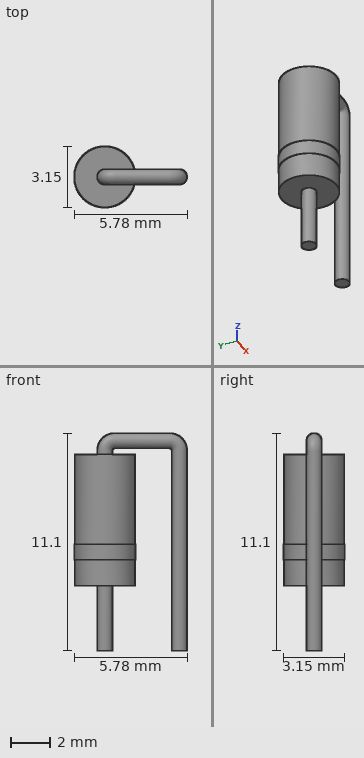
import cadquery as cq

lead_diameter = 0.79
lead_pitch = 3.81
bend_radius = 0.5
overall_height = 11.12

body_diameter = 3.1
body_bottom = 3.31
body_length = 6.72

band_diameter = 3.15
band_offset = 1.34
band_width = 0.8

lead_top_axis = overall_height - lead_diameter / 2
bend_start = lead_top_axis - bend_radius


def upright_cylinder(diameter, bottom, height):
    """Cylinder on the Z axis, starting at the given height."""
    return cq.Workplane("XY").workplane(offset=bottom).circle(diameter / 2).extrude(height)


def bent_lead():
    """Round wire running up through the body, across and down beside it."""
    path = (
        cq.Workplane("XZ")
        .moveTo(0, 0)
        .lineTo(0, bend_start)
        .radiusArc((bend_radius, lead_top_axis), bend_radius)
        .lineTo(lead_pitch - bend_radius, lead_top_axis)
        .radiusArc((lead_pitch, bend_start), bend_radius)
        .lineTo(lead_pitch, 0)
    )
    return cq.Workplane("XY").circle(lead_diameter / 2).sweep(path)


body = upright_cylinder(body_diameter, body_bottom, body_length)
band = upright_cylinder(band_diameter, body_bottom + band_offset, band_width)

result = body.union(band).union(bent_lead())